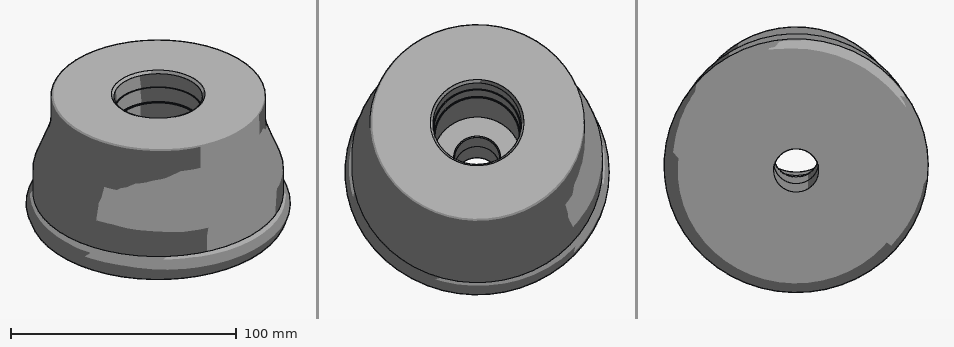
import cadquery as cq
import math

total_height = 63.5
foot_height = 12.9
hole_radius = 10.0
full_turn = 360

crown_radius = 47.6
crown_fillet = 1.2
crown_straight_bottom = 51.5
skirt_radius = 55.6
skirt_straight_top = 24.9
cone_angle = math.radians(21.4)
shoulder_radius = 5.6

bore_radius = 19.6
bore_chamfer = 1.2
bore_depth = 39.9
land_radius = 19.1
land_depth = 8.0
lip_radius = 18.6
lip_depth = 15.2
lip_thickness = 0.5
hole_chamfer = 0.5

rim_radius = 58.6
rim_middle = 7.3
rim_arc_half_height = 1.3
rim_arc_bulge = 0.2
rim_arc_radius = rim_radius - rim_arc_bulge
top_bevel_radius = 56.7
top_bevel_bottom = 11.8
upper_flank_radius = 57.5
upper_flank_top = 10.8
lower_flank_radius = 57.1
lower_flank_bottom = 2.6
bottom_bevel_outer = 55.1
bottom_bevel_inner = 52.4
bottom_bevel_height = 0.8


def make_housing():
    """Housing with a conical flare outside, a stepped bore and a drilled floor."""
    cone_bottom_radius = skirt_radius - shoulder_radius * (1 - math.cos(cone_angle))
    cone_bottom = skirt_straight_top + shoulder_radius * math.sin(cone_angle)
    neck_corner = cone_bottom + (cone_bottom_radius - crown_radius) / math.tan(cone_angle)
    neck_tangent = crown_straight_bottom - neck_corner
    cone_top = neck_corner - neck_tangent * math.cos(cone_angle)
    cone_top_radius = crown_radius + neck_tangent * math.sin(cone_angle)

    floor = total_height - bore_depth
    lip_top = total_height - lip_depth
    lip_bottom = lip_top - lip_thickness
    land_top = total_height - land_depth

    outline = (
        cq.Workplane("XZ")
        .moveTo(hole_radius, foot_height)
        .lineTo(skirt_radius, foot_height)
        .lineTo(skirt_radius, skirt_straight_top)
        .tangentArcPoint((cone_bottom_radius, cone_bottom), relative=False)
        .lineTo(cone_top_radius, cone_top)
        .tangentArcPoint((crown_radius, crown_straight_bottom), relative=False)
        .lineTo(crown_radius, total_height - crown_fillet)
        .tangentArcPoint((crown_radius - crown_fillet, total_height), relative=False)
        .lineTo(bore_radius + bore_chamfer, total_height)
        .lineTo(bore_radius, total_height - bore_chamfer)
        .lineTo(bore_radius, land_top)
        .lineTo(land_radius, land_top)
        .lineTo(land_radius, lip_top)
        .lineTo(lip_radius, lip_top)
        .lineTo(lip_radius, lip_bottom)
        .lineTo(bore_radius, lip_bottom)
        .lineTo(bore_radius, floor)
        .lineTo(hole_radius + hole_chamfer, floor)
        .lineTo(hole_radius, floor - hole_chamfer)
        .close()
    )
    return outline.revolve(full_turn, (0, 0), (0, 1))


def make_foot():
    """Flat round foot with a bulging rim and a through hole that continues the housing hole."""
    outline = (
        cq.Workplane("XZ")
        .moveTo(hole_radius, 0)
        .lineTo(bottom_bevel_inner, 0)
        .lineTo(bottom_bevel_outer, bottom_bevel_height)
        .tangentArcPoint((lower_flank_radius, lower_flank_bottom), relative=False)
        .lineTo(rim_arc_radius, rim_middle - rim_arc_half_height)
        .threePointArc((rim_radius, rim_middle), (rim_arc_radius, rim_middle + rim_arc_half_height))
        .lineTo(upper_flank_radius, upper_flank_top)
        .tangentArcPoint((top_bevel_radius, top_bevel_bottom), relative=False)
        .lineTo(skirt_radius, foot_height)
        .lineTo(hole_radius, foot_height)
        .close()
    )
    return outline.revolve(full_turn, (0, 0), (0, 1))


housing = make_housing()
foot = make_foot()

result = cq.Compound.makeCompound([housing.val(), foot.val()])